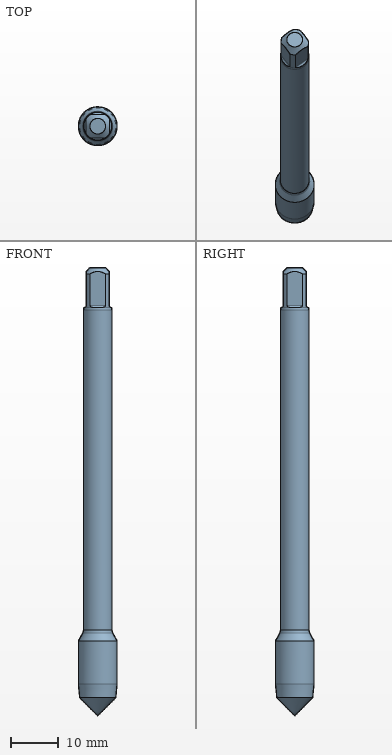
import cadquery as cq
import math

total_height = 93.6
tip_top = 17.9
shoulder_top = 17.3
shoulder_base = 15.6
taper_top = 6.65

head_diameter = 8.1
point_diameter = 7.6
neck_diameter = 6.3
point_height = point_diameter / 2

shank_diameter = 6.0
drive_diameter = 5.8
shank_top = 85.3
end_bevel_height = 0.6
end_bevel_width = (shank_diameter - drive_diameter) / 2
drive_across_flats = 4.9
drive_top_diameter = 3.3
drive_bevel_height = 1.3
runout_radius = 0.4


def revolve_profile(points):
    """Turn an (r, z) half-outline around the Z axis."""
    return cq.Workplane("XZ").polyline(points).close().revolve(360, (0, 0, 0), (0, 1, 0))


def make_tip():
    """Pointed head with a slight taper, a conical shoulder and a short bevelled neck."""
    return revolve_profile([
        (0, 0),
        (point_diameter / 2, point_height),
        (head_diameter / 2, taper_top),
        (head_diameter / 2, shoulder_base),
        (neck_diameter / 2, shoulder_top),
        (shank_diameter / 2, tip_top),
        (0, tip_top),
    ])


def make_shank_rod():
    """Round rod standing on the tip, bevelled at its upper end."""
    radius = shank_diameter / 2
    end_radius = radius - end_bevel_width
    return revolve_profile([
        (0, tip_top),
        (radius, tip_top),
        (radius, shank_top - end_bevel_height),
        (end_radius, shank_top),
        (0, shank_top),
    ])


def make_flat_cutter():
    """Block that cuts the +X flat and leaves a concave runout at its foot."""
    flat = drive_across_flats / 2
    outer = flat + head_diameter
    mid_arc = runout_radius * (1 - math.sqrt(0.5))
    return (
        cq.Workplane("XZ")
        .moveTo(flat, total_height)
        .lineTo(flat, shank_top + runout_radius)
        .threePointArc(
            (flat + mid_arc, shank_top + mid_arc),
            (flat + runout_radius, shank_top),
        )
        .lineTo(outer, shank_top)
        .lineTo(outer, total_height)
        .close()
        .extrude(head_diameter / 2, both=True)
    )


def make_drive():
    """Square drive with rounded corners and a conical bevel on top; its flats curve out to the shank."""
    radius = drive_diameter / 2
    turned = revolve_profile([
        (0, shank_top),
        (radius, shank_top),
        (radius, total_height - drive_bevel_height),
        (drive_top_diameter / 2, total_height),
        (0, total_height),
    ])
    for side in range(4):
        turned = turned.cut(make_flat_cutter().rotate((0, 0, 0), (0, 0, 1), 90 * side))
    return turned


tip = make_tip()
shank = make_shank_rod().union(make_drive())

result = cq.Compound.makeCompound([tip.val(), shank.val()])